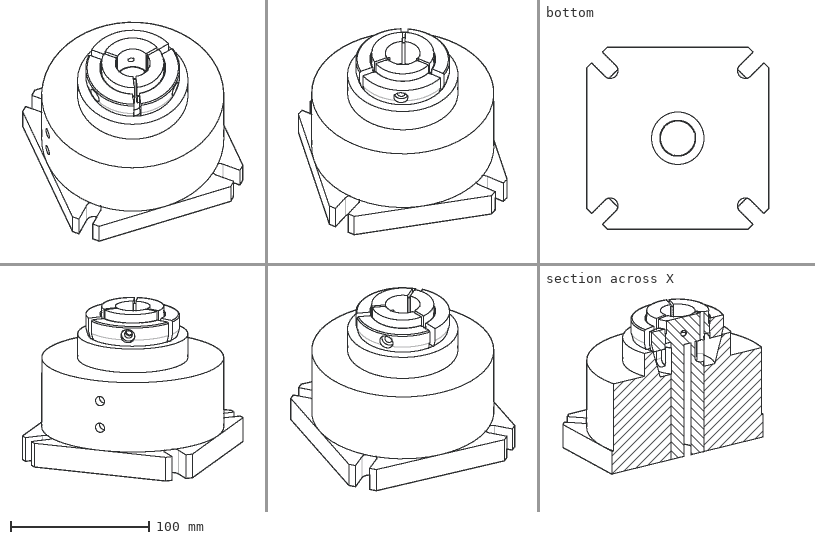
import cadquery as cq
import math

side = 132.0
foot_top = 18.0
drum_top = 70.2
boss_top = 88.0
boss_diameter = 80.0

corner_angles = (45, 135, 225, 315)
corner_chamfer = 15.0
slot_width = 11.0
slot_end_radius = 69.0

port_diameter = 6.9
port_heights = (35.0, 55.0)
port_depth = 7.9
port_tip_angle = 118.0

taper_angle = 15.0
seat_floor_radius = 26.9

top = 109.0
bore_radius = 12.5
web_inner_radius = 26.0 / 2
web_outer_radius = 27.6 / 2
shank_radius = 38.0 / 2
web_top = 107.0
head_radius = 45.0 / 2
rib_radius = 23.2
rib_top = 99.0
rib_bottom = 91.3
neck_radius = 39.0 / 2
head_bottom = 87.1
slit_width = 2.0
window_width = 8.6
window_bottom = 70.6

jaw_count = 3
jaw_radius = 68.0 / 2
jaw_top = 103.1
jaw_taper_top = 93.0
jaw_gap = 5.0
jaw_rim_chamfer = 0.9
jaw_bore_chamfer = 0.7
first_jaw_angle = 45.0
plain_jaw_angle = 165.0

screw_height = 96.0
counterbore_diameter = 10.0
counterbore_floor_radius = 29.3
clearance_diameter = 5.5
thread_diameter = 4.2

taper_slope = math.tan(math.radians(taper_angle))
seat_rim_radius = jaw_radius - (jaw_taper_top - boss_top) * taper_slope
seat_floor = boss_top - (seat_rim_radius - seat_floor_radius) / taper_slope
jaw_bottom = head_bottom
jaw_bottom_radius = jaw_radius - (jaw_taper_top - jaw_bottom) * taper_slope
jaw_pitch = 360.0 / jaw_count
jaw_angles = [first_jaw_angle + i * jaw_pitch for i in range(jaw_count)]
gap_angles = [angle + jaw_pitch / 2 for angle in jaw_angles]


def cylinder(radius, bottom, height):
    return cq.Workplane("XY").workplane(offset=bottom).circle(radius).extrude(height)


def revolved(profile):
    """Revolve a closed (radius, height) profile about the Z axis."""
    return cq.Workplane("XZ").polyline(profile).close().revolve(360, (0, 0), (0, 1))


def radial_slot(width, inner, outer, bottom, upper, angle):
    """Box reaching outwards from the axis, centred on the given angle."""
    box = cq.Workplane("XY").box(outer - inner, width, upper - bottom, centered=(False, True, False))
    return box.translate((inner, 0, bottom)).rotate((0, 0, 0), (0, 0, 1), angle)


def radial_hole(diameter, inner, outer, height, angle):
    """Horizontal hole along a radius at the given height."""
    hole = cq.Workplane("YZ").workplane(offset=inner).circle(diameter / 2).extrude(outer - inner)
    return hole.translate((0, 0, height)).rotate((0, 0, 0), (0, 0, 1), angle)


def corner_slot(angle):
    slot = radial_slot(slot_width, slot_end_radius, side, 0, foot_top, angle)
    turn = math.radians(angle)
    end = cylinder(slot_width / 2, 0, foot_top)
    end = end.translate((slot_end_radius * math.cos(turn), slot_end_radius * math.sin(turn), 0))
    return slot.union(end)


def port(height):
    """Blind drilled port entering the drum from -Y."""
    radius = port_diameter / 2
    tip = radius / math.tan(math.radians(port_tip_angle / 2))
    wall = -side / 2
    profile = [(0, wall), (radius, wall), (radius, wall + port_depth), (0, wall + port_depth + tip)]
    drill = cq.Workplane("XY").polyline(profile).close().revolve(360, (0, 0), (0, 1))
    return drill.translate((0, 0, height))


def make_housing():
    foot = cq.Workplane("XY").box(side, side, foot_top, centered=(True, True, False))
    foot = foot.edges("|Z").chamfer(corner_chamfer)
    for angle in corner_angles:
        foot = foot.cut(corner_slot(angle))
    body = foot.union(cylinder(side / 2, foot_top, drum_top - foot_top))
    body = body.union(cylinder(boss_diameter / 2, drum_top, boss_top - drum_top))
    seat = revolved([
        (0, seat_floor),
        (seat_floor_radius, seat_floor),
        (seat_rim_radius, boss_top),
        (0, boss_top),
    ])
    body = body.cut(seat).cut(cylinder(shank_radius, 0, seat_floor))
    for height in port_heights:
        body = body.cut(port(height))
    return body


def collet_window(angle):
    """Radial window through the shank wall, flat on top and round at the bottom."""
    round_centre = window_bottom + window_width / 2
    window = radial_slot(window_width, web_inner_radius, jaw_radius, round_centre, head_bottom, angle)
    return window.union(radial_hole(window_width, web_inner_radius, jaw_radius, round_centre, angle))


def make_collet():
    """Head and shank split by three slits, joined behind the slits by a thin tubular web."""
    collet = revolved([
        (web_inner_radius, 0),
        (shank_radius, 0),
        (shank_radius, head_bottom),
        (neck_radius, head_bottom),
        (neck_radius, rib_bottom),
        (rib_radius, rib_bottom),
        (rib_radius, rib_top),
        (head_radius, rib_top),
        (head_radius, top),
        (bore_radius, top),
        (bore_radius, head_bottom),
        (web_inner_radius, head_bottom),
    ])
    web = cylinder(web_outer_radius, 0, web_top)
    web = web.cut(cylinder(web_inner_radius, 0, web_top))
    for angle in gap_angles:
        slit = radial_slot(slit_width, 0, jaw_radius, head_bottom, top, angle)
        collet = collet.cut(slit.cut(web)).cut(collet_window(angle).cut(web))
    for angle in jaw_angles:
        collet = collet.cut(radial_hole(thread_diameter, 0, jaw_radius, screw_height, angle))
    return collet


def make_jaw(angle):
    """One third of the clamp ring, bounded by half a gap at each end."""
    rim = 0 if angle == plain_jaw_angle else jaw_rim_chamfer
    profile = [
        (rib_radius, jaw_bottom),
        (jaw_bottom_radius, jaw_bottom),
        (jaw_radius, jaw_taper_top),
        (jaw_radius, jaw_top - rim),
    ]
    if rim:
        profile.append((jaw_radius - rim, jaw_top))
    profile += [
        (rib_radius + jaw_bore_chamfer, jaw_top),
        (rib_radius, jaw_top - jaw_bore_chamfer),
    ]
    start = angle - jaw_pitch / 2
    jaw = cq.Workplane("XZ").polyline(profile).close().revolve(jaw_pitch, (0, 0), (0, 1))
    jaw = jaw.rotate((0, 0, 0), (0, 0, 1), start)
    for end in (start, start + jaw_pitch):
        jaw = jaw.cut(radial_slot(jaw_gap, 0, side, jaw_bottom, jaw_top, end))
    jaw = jaw.cut(radial_hole(clearance_diameter, 0, side, screw_height, angle))
    return jaw.cut(radial_hole(counterbore_diameter, counterbore_floor_radius, side, screw_height, angle))


housing = make_housing()
collet = make_collet()
jaws = [make_jaw(angle) for angle in jaw_angles]

result = cq.Compound.makeCompound([housing.val(), collet.val(), *[jaw.val() for jaw in jaws]])